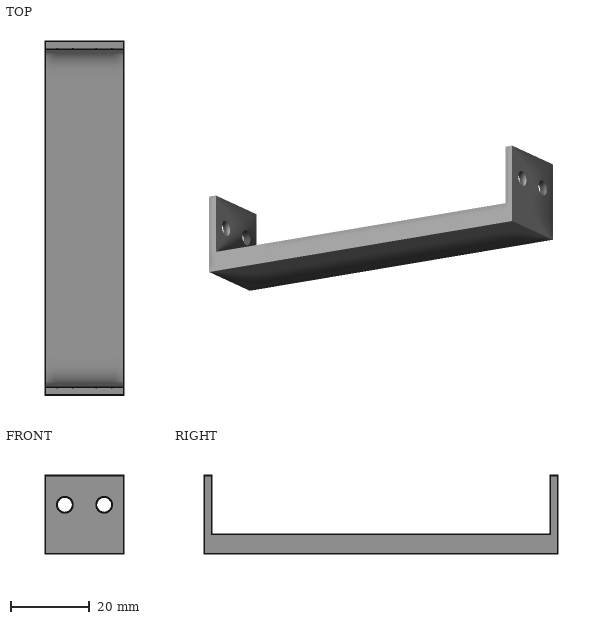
import cadquery as cq

length = 90.0
width = 20.0
height = 20.0

wall_thickness = 2.0
floor_thickness = 5.0

hole_diameter = 4.0
hole_spacing = width / 2
hole_height = 12.5


def bracket_body():
    """Block with the space between the two end walls removed."""
    block = cq.Workplane("XY").box(width, length, height, centered=(True, True, False))
    gap = (
        cq.Workplane("XY")
        .workplane(offset=floor_thickness)
        .rect(width, length - 2 * wall_thickness)
        .extrude(height - floor_thickness)
    )
    return block.cut(gap)


def wall_holes():
    """Two cylinders along Y, long enough to pierce both end walls."""
    return (
        cq.Workplane("XZ")
        .pushPoints([(side * hole_spacing / 2, hole_height) for side in (-1, 1)])
        .circle(hole_diameter / 2)
        .extrude(length / 2, both=True)
    )


result = bracket_body().cut(wall_holes())